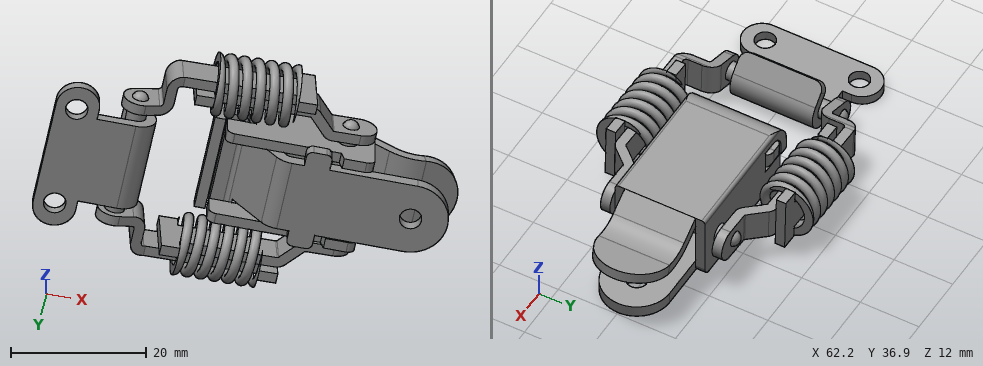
import cadquery as cq
import math


overall_length = 62.25
sheet = 1.6
hole_diameter = 3.3

pin_radius = 1.5
head_radius = 1.25
head_height = 0.9
front_pivot_x = 12.3
front_pivot_z = pin_radius + sheet
rear_pivot_x = 44.15
rear_pivot_z = 6.05
arm_tilt = 2.4
arm_radius = 2.55
arm_inner_y = 8.7
contact_y = 13.7
stop_length = 2.8
stop_height = 9.0
rear_arm_bend_x = 37.5
rear_arm_bend_angle = 48.0
rear_arm_bend_radius = 0.25
rear_eye_offset = 1.4
front_arm_bend_x = 15.05
front_arm_bend_radius = 0.5
elbow_x = 17.55

spring_start_x = 22.7
spring_length = 12.3
spring_turns = 6
wire_diameter = 1.5
coil_outer_diameter = 9.5

lobe_radius = 3.25
lobe_y = 8.5
strike_hole_x = 3.2
strike_hole_y = 8.0
neck_half_width = 7.05
hook_turn = 135.0
hook_length = 3.85
hook_corner_radius = 1.5

base_thickness = 2.0
base_front_x = 26.3
base_end_x = 60.8
base_half_width = 5.6
base_step = 7.35
step_bend_x = 28.3
step_angle = 51.0
step_bend_radius = 1.0
ear_y = 8.0
ear_corner_radius = 0.95
front_ear_length = 3.25
rear_ear_x = 38.05
rear_ear_length = 3.85

lever_front_x = 24.15
lever_rear_x = 48.3
lever_half_width = 7.65
lever_top = 12.0
lever_nose_radius = 4.2
lever_edge_radius = 0.55
lip_bottom = 6.05
wall_bottom = 2.05
wall_corner_radius = 1.1
foot_bottom = 0.5
foot_front_top_x = 43.2
foot_front_bottom_x = 43.65
foot_corner_radius = 1.25
lip_gap = 0.25
slot_bottom = 6.4
slot_end_x = 30.4
tab_slope = 33.5
tab_bend_radius = 5.6
tip_slope = 12.5


def bent_sheet(plane, start, heading, steps, thickness, depth):
    """Sheet strip bent in the given plane and extruded by depth to both sides.

    The strip starts at `start` on its right-hand face. Each step is ("line", length) or
    ("bend", inner radius, turn angle), with left turns positive.
    """
    x, y = start
    angle = math.radians(heading)
    left_start = (x - thickness * math.sin(angle), y + thickness * math.cos(angle))
    right_side = []
    left_side = []
    for step in steps:
        if step[0] == "line":
            x += step[1] * math.cos(angle)
            y += step[1] * math.sin(angle)
            right_side.append((None, (x, y)))
            left = (x - thickness * math.sin(angle), y + thickness * math.cos(angle))
            left_side.append((None, left))
            continue
        turn = math.radians(step[2])
        side = math.copysign(1, turn)
        right_radius = step[1] + (thickness if turn > 0 else 0)
        left_radius = step[1] + (0 if turn > 0 else thickness)
        centre_x = x - side * right_radius * math.sin(angle)
        centre_y = y + side * right_radius * math.cos(angle)

        def on_arc(radius, direction):
            return (centre_x + side * radius * math.sin(direction),
                    centre_y - side * radius * math.cos(direction))

        middle = angle + turn / 2
        angle += turn
        right_side.append((on_arc(right_radius, middle), on_arc(right_radius, angle)))
        left_side.append((on_arc(left_radius, middle), on_arc(left_radius, angle)))
        x, y = right_side[-1][1]

    outline = cq.Workplane(plane).moveTo(*start)
    for middle, end in right_side:
        outline = outline.lineTo(*end) if middle is None else outline.threePointArc(middle, end)
    outline = outline.lineTo(*left_side[-1][1])
    ends = [left_start] + [end for _, end in left_side[:-1]]
    for (middle, _), end in zip(reversed(left_side), reversed(ends)):
        outline = outline.lineTo(*end) if middle is None else outline.threePointArc(middle, end)
    return outline.close().extrude(depth, both=True)


def box(x_range, y_range, z_range):
    sizes = [high - low for low, high in (x_range, y_range, z_range)]
    corner = (x_range[0], y_range[0], z_range[0])
    return cq.Workplane("XY").box(*sizes, centered=False).translate(corner)


def mirrored_pair(body):
    return body.union(body.mirror("XZ"))


def place_on_arm_axis(body):
    """Move a body from the level frame at the rear pivot onto the tilted arm axis."""
    return body.rotate((0, 0, 0), (0, 1, 0), -arm_tilt).translate((rear_pivot_x, 0, rear_pivot_z))


def bar_profile(x_start, x_end, half_height, depth):
    return box((x_start, x_end), (-depth, depth), (-half_height, half_height))


def make_strike_plate():
    steps = [("line", front_pivot_x), ("bend", pin_radius, hook_turn), ("line", hook_length)]
    lobe_end_y = lobe_y + lobe_radius
    plate = bent_sheet("XZ", (0, 0), 0, steps, sheet, lobe_end_y)
    height = lever_top
    lobes = (cq.Workplane("XY").center(lobe_radius, 0)
             .slot2D(2 * lobe_end_y, 2 * lobe_radius, 90).extrude(height))
    neck = box((lobe_radius, overall_length), (-neck_half_width, neck_half_width), (0, height))
    plate = plate.intersect(lobes.union(neck))
    plate = plate.edges("|(1,0,1)").fillet(hook_corner_radius)
    hole_places = [(strike_hole_x, strike_hole_y), (strike_hole_x, -strike_hole_y)]
    holes = (cq.Workplane("XY").pushPoints(hole_places)
             .circle(hole_diameter / 2).extrude(sheet))
    return plate.cut(holes)


def make_base():
    angle = math.radians(step_angle)
    both_bends = 2 * step_bend_radius + base_thickness
    ramp = (base_step - both_bends * (1 - math.cos(angle))) / math.sin(angle)
    floor_x = step_bend_x + both_bends * math.sin(angle) + ramp * math.cos(angle)
    steps = [("line", step_bend_x - base_front_x),
             ("bend", step_bend_radius, -step_angle),
             ("line", ramp),
             ("bend", step_bend_radius, step_angle),
             ("line", base_end_x - floor_x)]
    base = bent_sheet("XZ", (base_front_x, base_step), 0, steps, base_thickness, ear_y)

    height = base_step + base_thickness
    end_centre_x = base_end_x - base_half_width
    plan = box((base_front_x, end_centre_x), (-base_half_width, base_half_width), (0, height))
    plan = plan.union(cq.Workplane("XY").center(end_centre_x, 0).circle(base_half_width).extrude(height))
    for ear_x, ear_length in ((base_front_x, front_ear_length), (rear_ear_x, rear_ear_length)):
        ears = box((ear_x, ear_x + ear_length), (-ear_y, ear_y), (0, height))
        plan = plan.union(ears.edges("|Z").fillet(ear_corner_radius))
    hole = cq.Workplane("XY").center(end_centre_x, 0).circle(hole_diameter / 2).extrude(height)
    return base.intersect(plan).cut(hole)


def lever_side_outline():
    arc_mid = lever_nose_radius * (1 - math.sqrt(0.5))
    wall_front_x = lever_front_x + sheet + lip_gap
    outline = (cq.Workplane("XZ").moveTo(lever_front_x, lip_bottom)
               .lineTo(lever_front_x, lever_top - lever_nose_radius)
               .threePointArc((lever_front_x + arc_mid, lever_top - arc_mid),
                              (lever_front_x + lever_nose_radius, lever_top))
               .lineTo(lever_rear_x, lever_top)
               .lineTo(lever_rear_x, foot_bottom)
               .lineTo(foot_front_bottom_x, foot_bottom)
               .lineTo(foot_front_top_x, wall_bottom)
               .lineTo(wall_front_x, wall_bottom)
               .lineTo(wall_front_x, lip_bottom)
               .close().extrude(lever_half_width, both=True))
    foot_corner = cq.NearestToPointSelector((lever_rear_x, 0, foot_bottom))
    wall_corner = cq.NearestToPointSelector((wall_front_x, 0, wall_bottom))
    outline = outline.edges(foot_corner).fillet(foot_corner_radius)
    return outline.edges(wall_corner).fillet(wall_corner_radius)


def inside_nose(x_end, bottom, half_width):
    """Space behind the lip and under the top sheet, with the rounded nose inside."""
    block = box((lever_front_x + sheet, x_end), (-half_width, half_width), (bottom, lever_top - sheet))
    return block.edges("|Y and <X and >Z").fillet(lever_nose_radius - sheet)


def make_thumb_tab():
    half_width = lever_half_width - sheet
    down = math.radians(tab_slope)
    up = math.radians(tip_slope)
    bend_run = tab_bend_radius * (math.sin(down) + math.sin(up))
    tip_run = half_width * math.cos(up) + sheet * math.sin(up)
    slope_run = overall_length - lever_rear_x - bend_run - tip_run
    slope_length = slope_run / math.cos(down)
    start = (lever_rear_x - sheet * math.sin(down), lever_top - sheet * math.cos(down))
    steps = [("line", slope_length),
             ("bend", tab_bend_radius, tab_slope + tip_slope),
             ("line", half_width)]
    tab = bent_sheet("XZ", start, -tab_slope, steps, sheet, half_width)

    tip_x = lever_rear_x + slope_run + bend_run
    tip_z = (lever_top - slope_length * math.sin(down)
             + tab_bend_radius * (math.cos(down) - math.cos(up)))
    tip_plane = cq.Plane((tip_x, 0, tip_z), xDir=(math.cos(up), 0, math.sin(up)),
                         normal=(-math.sin(up), 0, math.cos(up)))
    reach = overall_length - lever_front_x
    outline = (cq.Workplane(tip_plane).moveTo(-reach, -half_width)
               .lineTo(0, -half_width)
               .threePointArc((half_width, 0), (0, half_width))
               .lineTo(-reach, half_width)
               .close().extrude(reach, both=True))
    return tab.intersect(outline)


def make_lever():
    lever = lever_side_outline()
    section = box((0, overall_length), (-lever_half_width, lever_half_width), (0, lever_top))
    lever = lever.intersect(section.edges("|X and >Z").fillet(lever_edge_radius))
    lever = lever.cut(inside_nose(overall_length, 0, lever_half_width - sheet))
    lever = lever.cut(inside_nose(slot_end_x, slot_bottom, lever_half_width))
    lip_back_x = lever_front_x + sheet
    gap = box((lip_back_x, lip_back_x + lip_gap), (-lever_half_width, lever_half_width), (0, slot_bottom))
    pivot_hole = (cq.Workplane("XZ").center(rear_pivot_x, rear_pivot_z)
                  .circle(pin_radius).extrude(lever_half_width, both=True))
    return lever.cut(gap).union(make_thumb_tab()).cut(pivot_hole)


def make_pin():
    """Pin along Y with shoulders between the arms and a domed head outside each arm."""
    head_y = arm_inner_y + sheet
    mid_angle = math.atan2(head_height, head_radius)
    sphere_radius = head_radius / math.sin(2 * mid_angle)
    dome_mid = (sphere_radius * math.sin(mid_angle),
                head_y + head_height - sphere_radius * (1 - math.cos(mid_angle)))
    half_pin = (cq.Workplane("XY").lineTo(pin_radius, 0)
                .lineTo(pin_radius, arm_inner_y)
                .lineTo(head_radius, arm_inner_y)
                .lineTo(head_radius, head_y)
                .threePointArc(dome_mid, (0, head_y + head_height))
                .close().revolve(360, (0, 0, 0), (0, 1, 0)))
    return mirrored_pair(half_pin)


def make_rear_bail():
    stop_x = spring_start_x - stop_length - rear_pivot_x
    bend_x = rear_arm_bend_x - rear_pivot_x
    angle = math.radians(rear_arm_bend_angle)
    both_bends = 2 * rear_arm_bend_radius + sheet
    shift = contact_y - sheet - arm_inner_y
    diagonal = (shift - both_bends * (1 - math.cos(angle))) / math.sin(angle)
    straight_x = bend_x + both_bends * math.sin(angle) + diagonal * math.cos(angle)
    eye_end_x = rear_eye_offset + arm_radius
    steps = [("line", bend_x - stop_x),
             ("bend", rear_arm_bend_radius, rear_arm_bend_angle),
             ("line", diagonal),
             ("bend", rear_arm_bend_radius, -rear_arm_bend_angle),
             ("line", eye_end_x - straight_x)]
    arm = bent_sheet("XY", (stop_x, -contact_y), 0, steps, sheet, stop_height)

    side = bar_profile(stop_x, rear_eye_offset, arm_radius, contact_y)
    side = side.union(bar_profile(stop_x, stop_x + stop_length, stop_height / 2, contact_y))
    eye = (cq.Workplane("XZ").center(rear_eye_offset, 0)
           .circle(arm_radius).extrude(contact_y, both=True))
    arm = arm.intersect(side.union(eye))
    return place_on_arm_axis(mirrored_pair(arm).union(make_pin()))


def make_front_bail():
    tilt = math.radians(arm_tilt)
    rise = front_pivot_z - rear_pivot_z
    run = front_pivot_x - rear_pivot_x
    pivot_x = run * math.cos(tilt) + rise * math.sin(tilt)
    pivot_z = rise * math.cos(tilt) - run * math.sin(tilt)
    outer_y = contact_y + sheet
    eye_x = pivot_x - arm_radius
    bend_x = front_arm_bend_x - rear_pivot_x
    stop_x = spring_start_x + spring_length - rear_pivot_x
    both_bends = 2 * front_arm_bend_radius + sheet
    steps = [("line", bend_x - eye_x),
             ("bend", front_arm_bend_radius, -90),
             ("line", contact_y - arm_inner_y - both_bends),
             ("bend", front_arm_bend_radius, 90),
             ("line", stop_x + stop_length - bend_x - both_bends)]
    arm = bent_sheet("XY", (eye_x, -arm_inner_y - sheet), 0, steps, sheet, stop_height)

    elbow = elbow_x - rear_pivot_x
    incline_length = math.hypot(elbow - pivot_x, pivot_z)
    incline = (cq.Workplane("XZ").center((elbow + pivot_x) / 2, pivot_z / 2)
               .slot2D(incline_length + 2 * arm_radius, 2 * arm_radius,
                       math.degrees(math.atan2(-pivot_z, elbow - pivot_x)))
               .extrude(outer_y, both=True))
    side = bar_profile(elbow, stop_x, arm_radius, outer_y)
    side = side.union(bar_profile(stop_x, stop_x + stop_length, stop_height / 2, outer_y))
    arm = arm.intersect(side.union(incline))
    return place_on_arm_axis(mirrored_pair(arm).union(make_pin().translate((pivot_x, 0, pivot_z))))


def make_spring():
    """Spring on the -Y side, its coil cut flat at both ends where it is outermost."""
    pitch = spring_length / spring_turns
    coil_length = spring_length + 2 * pitch
    coil_radius = (coil_outer_diameter - wire_diameter) / 2
    path = cq.Wire.makeHelix(pitch, coil_length, coil_radius)
    coil = (cq.Workplane("XZ").center(coil_radius, 0).circle(wire_diameter / 2)
            .sweep(cq.Workplane(obj=path), isFrenet=True))
    coil = coil.rotate((0, 0, 0), (0, 0, 1), -90).rotate((0, 0, 0), (0, 1, 0), 90)
    coil = coil.translate((-pitch, 0, 0))
    reach = coil_outer_diameter
    coil = coil.intersect(box((0, spring_length), (-reach, reach), (-reach, reach)))
    return place_on_arm_axis(coil.translate((spring_start_x - rear_pivot_x, -contact_y, 0)))


strike_plate = make_strike_plate()
base = make_base()
lever = make_lever()
front_bail = make_front_bail()
rear_bail = make_rear_bail()
right_spring = make_spring()
left_spring = right_spring.mirror("XZ")

result = cq.Compound.makeCompound([
    strike_plate.val(),
    base.val(),
    lever.val(),
    front_bail.val(),
    rear_bail.val(),
    right_spring.val(),
    left_spring.val(),
])